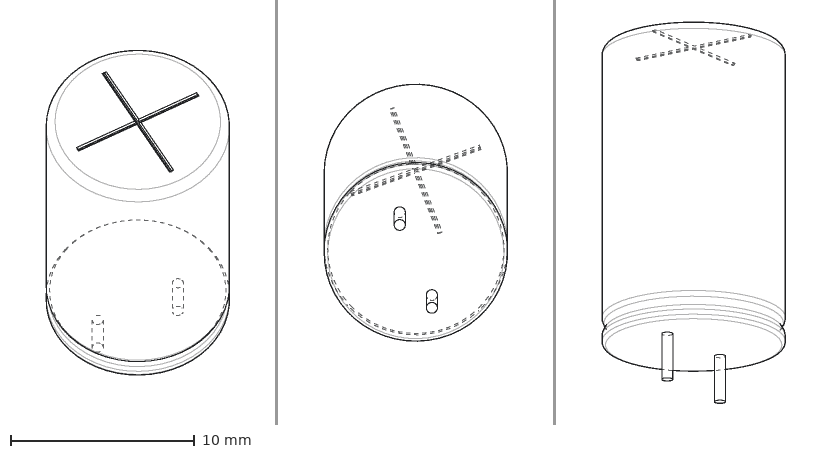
import cadquery as cq
import math

total_height = 19.61
lead_length = 2.6
lead_diameter = 0.6
lead_spacing = 5.0
lead_embed = 0.2

can_radius = 5.0
can_height = total_height - lead_length
top_round = 0.5
bottom_round = 0.2

crimp_center = 1.02
crimp_half_height = 0.53
crimp_depth = 0.2
valley_half_height = 0.24

score_length = 7.5
score_width = 0.25
score_floor_width = 0.08
score_depth = 0.1


def crimped_can():
    """Revolve the can, with tangent arcs forming the crimp bead."""
    slope_angle = 2 * math.atan(crimp_depth / crimp_half_height)
    valley_radius = valley_half_height / math.sin(slope_angle)
    valley_floor = can_radius - crimp_depth
    valley_edge = valley_floor + valley_radius * (1 - math.cos(slope_angle))
    profile = (
        cq.Workplane("XZ")
        .lineTo(can_radius, 0)
        .lineTo(can_radius, crimp_center - crimp_half_height)
        .tangentArcPoint((valley_edge, crimp_center - valley_half_height), relative=False)
        .threePointArc((valley_floor, crimp_center), (valley_edge, crimp_center + valley_half_height))
        .tangentArcPoint((can_radius, crimp_center + crimp_half_height), relative=False)
        .lineTo(can_radius, can_height)
        .lineTo(0, can_height)
        .close()
    )
    can = profile.revolve(360, (0, 0), (0, 1))
    return can.faces(">Z").edges().fillet(top_round).faces("<Z").edges().fillet(bottom_round)


def vent_score():
    """Narrow-floored trapezoidal cutter lying along X, sunk into the top face."""
    return (
        cq.Workplane("YZ")
        .polyline([
            (-score_width / 2, can_height),
            (score_width / 2, can_height),
            (score_floor_width / 2, can_height - score_depth),
            (-score_floor_width / 2, can_height - score_depth),
        ])
        .close()
        .extrude(score_length / 2, both=True)
    )


def leads():
    """Two round leads along Y, reaching slightly into the can."""
    return (
        cq.Workplane("XY", origin=(0, 0, -lead_length))
        .pushPoints([(0, -lead_spacing / 2), (0, lead_spacing / 2)])
        .circle(lead_diameter / 2)
        .extrude(lead_length + lead_embed)
    )


result = crimped_can()
for score_angle in (0, 90):
    result = result.cut(vent_score().rotate((0, 0, 0), (0, 0, 1), score_angle))
result = result.union(leads())